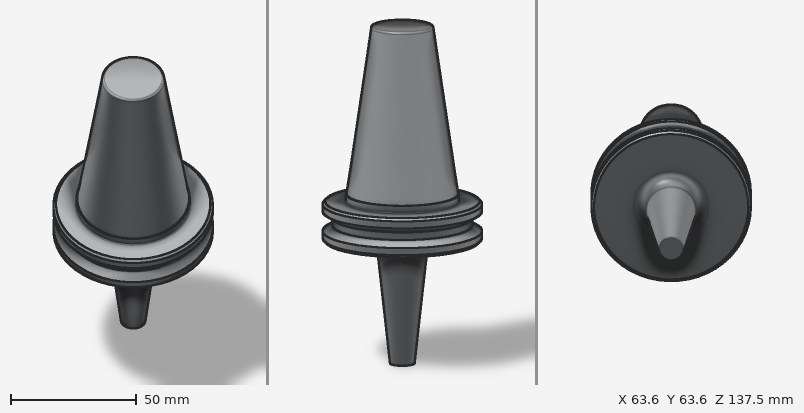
import cadquery as cq
import math

total_length = 137.5
gauge_level = 69.2
flange_top = 66.0
flange_bottom = 50.0

gauge_radius = 22.3
taper_slope = 7 / 48
shank_fillet = 1.0
neck_radius = 22.5
neck_fillet = 0.4

flange_radius = 31.8
flange_chamfer = 1.1
groove_root_radius = 27.9
groove_root_width = 3.6
groove_flank_angle = 30.0
groove_root_fillet = 0.4

nose_tip_radius = 5.0
nose_base_radius = 10.5
nose_fillet = 5.0
nose_tip_fillet = 0.4


def make_shank():
    """Tapered shank on a short cylindrical neck."""
    taper_height = total_length - gauge_level
    top_radius = gauge_radius - taper_height * taper_slope
    profile = [
        (0, flange_bottom),
        (neck_radius, flange_bottom),
        (neck_radius, gauge_level),
        (gauge_radius, gauge_level),
        (top_radius, total_length),
        (0, total_length),
    ]
    shank = cq.Workplane("XZ").polyline(profile).close().revolve(360, (0, 0), (0, 1))
    return shank.faces(">Z").edges().fillet(shank_fillet)


def make_flange():
    """Chamfered disc, full thickness."""
    disc = (
        cq.Workplane("XY")
        .workplane(offset=flange_bottom)
        .circle(flange_radius)
        .extrude(flange_top - flange_bottom)
    )
    return disc.faces("<Z or >Z").edges().chamfer(flange_chamfer)


def make_groove():
    """Ring that cuts the V-groove around the middle of the flange."""
    middle = (flange_top + flange_bottom) / 2
    root_half = groove_root_width / 2
    depth = flange_radius - groove_root_radius
    mouth_half = root_half + depth * math.tan(math.radians(groove_flank_angle))
    profile = [
        (groove_root_radius, middle - root_half),
        (flange_radius, middle - mouth_half),
        (flange_radius, middle + mouth_half),
        (groove_root_radius, middle + root_half),
    ]
    ring = cq.Workplane("XZ").polyline(profile).close().revolve(360, (0, 0), (0, 1))
    root_edges = cq.selectors.RadiusNthSelector(0)
    return ring.edges("%CIRCLE").edges(root_edges).fillet(groove_root_fillet)


def make_nose():
    """Slim cone from the tip at Z = 0 up to the flange."""
    profile = [
        (0, 0),
        (nose_tip_radius, 0),
        (nose_base_radius, flange_bottom),
        (0, flange_bottom),
    ]
    nose = cq.Workplane("XZ").polyline(profile).close().revolve(360, (0, 0), (0, 1))
    return nose.faces("<Z").edges().fillet(nose_tip_fillet)


body = make_shank().union(make_flange()).cut(make_groove()).union(make_nose())


def face_edges(level, reach):
    """Select edges at one level that lie within a given distance of the axis."""
    tolerance = 0.1
    return cq.selectors.BoxSelector(
        (-reach, -reach, level - tolerance),
        (reach, reach, level + tolerance),
        boundingbox=True,
    )


body = body.edges(face_edges(flange_bottom, nose_base_radius + 1.4)).fillet(nose_fillet)
result = body.edges(face_edges(flange_top, neck_radius + 1.4)).fillet(neck_fillet)